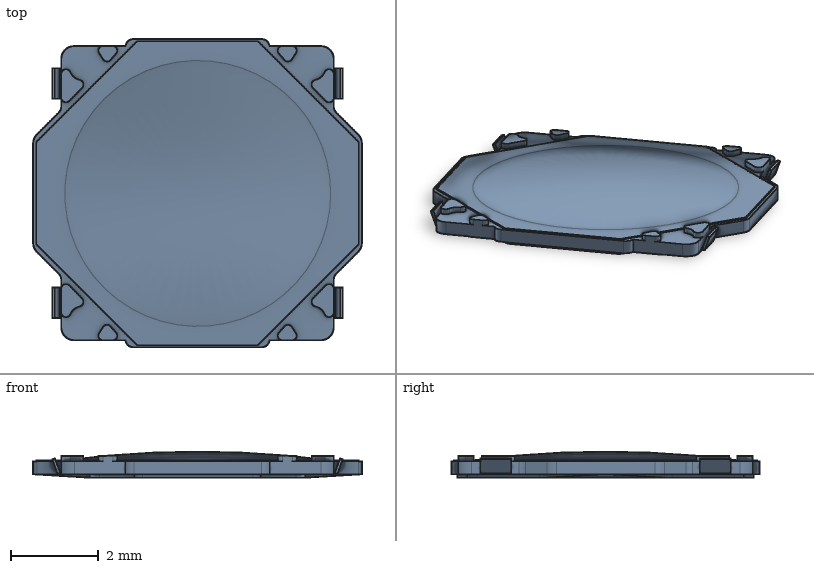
import cadquery as cq
import math

PLATE_BOTTOM_Z = 0.08
PLATE_TOP_Z = 0.375
RIM_TOP_Z = 0.40
PAD_TOP_Z = 0.50
DOME_TOP_Z = 0.60

OCTAGON_HALF_X = 3.75
OCTAGON_HALF_Y = 3.515
OCTAGON_DIAGONAL = 5.00
CORNER_HALF_X = 3.108
CORNER_HALF_Y = 3.355
CORNER_RADIUS = 0.30
OCTAGON_CORNER_RADIUS = 0.30
INNER_CORNER_RADIUS = 0.20
STEP_HALF_X = 1.646
STEP_RADIUS = 0.19

RIM_HALF_X = 3.676
RIM_HALF_Y = 3.463
RIM_DIAGONAL = 4.84
DOME_RADIUS = 3.03

BASE_HALF_X = 2.457
BASE_HALF_Y = 3.15
BASE_CORNER_RADIUS = 0.22
BASE_STEP_HALF_X = 1.445
BASE_STEP_HALF_Y = 3.38
WING_DIAGONAL = 3.87
WING_ROOT_RADIUS = 0.24
WING_SLOPE_START_X = 2.45
WING_END_X = 3.75

SIDE_PAD_RADIUS = 0.11
SIDE_PAD_X = CORNER_HALF_X - SIDE_PAD_RADIUS
SIDE_PAD_LOW_Y = 2.18
SIDE_PAD_HIGH_Y = 2.715
SIDE_PAD_NOSE = (2.71, 2.475)
SIDE_PAD_HOLLOW = (2.89, 2.565)
END_PAD_RADIUS = 0.105
END_PAD_Y = CORNER_HALF_Y - END_PAD_RADIUS
END_PAD_INNER_X = 1.935
END_PAD_OUTER_X = 2.155
END_PAD_NOSE = (2.06, 3.105)

TAB_MIN_Y = 2.148
TAB_MAX_Y = 2.85
TAB_THICKNESS = 0.065
TAB_TOP_X = 3.25
TAB_TOP_Z = 0.445
TAB_LEAN = math.radians(20)
TAB_OUTER_BOTTOM_Z = 0.105
TAB_FOOT_TOP_Z = 0.13
TAB_ROOT_X = CORNER_HALF_X - 0.05

QUADRANTS = [(sx, sy) for sx in (1, -1) for sy in (1, -1)]


def block(half_x, half_y, bottom, top):
    height = top - bottom
    return (cq.Workplane("XY").workplane(offset=bottom)
            .rect(2 * half_x, 2 * half_y).extrude(height))


def octagon(half_x, half_y, diagonal, bottom, top):
    """Octagonal prism whose 45 degree sides satisfy |x| + |y| = diagonal."""
    flat_x = diagonal - half_y
    flat_y = diagonal - half_x
    points = [
        (half_x, -flat_y), (half_x, flat_y), (flat_x, half_y), (-flat_x, half_y),
        (-half_x, flat_y), (-half_x, -flat_y), (-flat_x, -half_y), (flat_x, -half_y),
    ]
    return (cq.Workplane("XY").workplane(offset=bottom)
            .polyline(points).close().extrude(top - bottom))


def end_step(half_x, half_y, bottom, top):
    """Centre bar along Y with four rounded corners."""
    return block(half_x, half_y, bottom, top).edges("|Z").fillet(STEP_RADIUS)


def vertical_edges_at(body, x, y, middle):
    """Body's vertical edges at (x, y), centred on height middle, in all four quadrants."""
    picked = body.edges(cq.selectors.NearestToPointSelector((x, y, middle)))
    for sx, sy in QUADRANTS[1:]:
        selector = cq.selectors.NearestToPointSelector((sx * x, sy * y, middle))
        picked = picked.add(body.edges(selector))
    return picked


def make_plate():
    body = octagon(OCTAGON_HALF_X, CORNER_HALF_Y, OCTAGON_DIAGONAL, PLATE_BOTTOM_Z, PLATE_TOP_Z)
    corners = block(CORNER_HALF_X, CORNER_HALF_Y, PLATE_BOTTOM_Z, PLATE_TOP_Z)
    body = body.union(corners.edges("|Z").fillet(CORNER_RADIUS))
    octagon_corner_y = OCTAGON_DIAGONAL - OCTAGON_HALF_X
    inner_corner_y = OCTAGON_DIAGONAL - CORNER_HALF_X
    middle = (PLATE_BOTTOM_Z + PLATE_TOP_Z) / 2
    outer_edges = vertical_edges_at(body, OCTAGON_HALF_X, octagon_corner_y, middle)
    body = outer_edges.fillet(OCTAGON_CORNER_RADIUS)
    inner_edges = vertical_edges_at(body, CORNER_HALF_X, inner_corner_y, middle)
    body = inner_edges.fillet(INNER_CORNER_RADIUS)
    return body.union(end_step(STEP_HALF_X, OCTAGON_HALF_Y, PLATE_BOTTOM_Z, PLATE_TOP_Z))


def make_dome():
    rise = DOME_TOP_Z - RIM_TOP_Z
    sphere_radius = (DOME_RADIUS ** 2 + rise ** 2) / (2 * rise)
    mid_radius = DOME_RADIUS / 2
    mid_z = DOME_TOP_Z - sphere_radius + math.sqrt(sphere_radius ** 2 - mid_radius ** 2)
    return (cq.Workplane("XZ").moveTo(0, PLATE_TOP_Z).lineTo(DOME_RADIUS, PLATE_TOP_Z)
            .lineTo(DOME_RADIUS, RIM_TOP_Z)
            .threePointArc((mid_radius, mid_z), (0, DOME_TOP_Z))
            .close().revolve(360, (0, 0, 0), (0, 1, 0)))


def make_base():
    """Lower layer; its pointed wings thin out to nothing at their ends."""
    body = block(BASE_HALF_X, BASE_HALF_Y, 0, PLATE_BOTTOM_Z).edges("|Z").fillet(BASE_CORNER_RADIUS)
    tip = WING_DIAGONAL
    wings = (cq.Workplane("XY").polyline([(tip, 0), (0, tip), (-tip, 0), (0, -tip)])
             .close().extrude(PLATE_BOTTOM_Z)
             .intersect(block(tip, BASE_HALF_Y, 0, PLATE_BOTTOM_Z)))
    body = body.union(wings)
    root_y = WING_DIAGONAL - BASE_HALF_X
    root_edges = vertical_edges_at(body, BASE_HALF_X, root_y, PLATE_BOTTOM_Z / 2)
    body = root_edges.fillet(WING_ROOT_RADIUS)
    side_profile = (cq.Workplane("XZ")
                    .polyline([(-WING_SLOPE_START_X, 0), (WING_SLOPE_START_X, 0),
                               (WING_END_X, PLATE_BOTTOM_Z), (-WING_END_X, PLATE_BOTTOM_Z)])
                    .close().extrude(BASE_HALF_Y, both=True))
    body = body.intersect(side_profile)
    return body.union(end_step(BASE_STEP_HALF_X, BASE_STEP_HALF_Y, 0, PLATE_BOTTOM_Z))


def make_side_pad():
    high = (SIDE_PAD_X, SIDE_PAD_HIGH_Y)
    low = (SIDE_PAD_X, SIDE_PAD_LOW_Y)
    return (cq.Workplane("XY").workplane(offset=PLATE_TOP_Z)
            .moveTo(*low).lineTo(*high).threePointArc(SIDE_PAD_HOLLOW, SIDE_PAD_NOSE).close()
            .offset2D(SIDE_PAD_RADIUS).extrude(PAD_TOP_Z - PLATE_TOP_Z))


def make_end_pad():
    points = [(END_PAD_INNER_X, END_PAD_Y), (END_PAD_OUTER_X, END_PAD_Y), END_PAD_NOSE]
    return (cq.Workplane("XY").workplane(offset=PLATE_TOP_Z).polyline(points).close()
            .offset2D(END_PAD_RADIUS).extrude(PAD_TOP_Z - PLATE_TOP_Z))


def make_tab():
    """Thin leaning strip whose lower end runs into the plate's X side."""
    lean_run = math.tan(TAB_LEAN)
    outer_top_x = TAB_TOP_X + TAB_THICKNESS * math.cos(TAB_LEAN)
    outer_top_z = TAB_TOP_Z - TAB_THICKNESS * math.sin(TAB_LEAN)
    outer_bottom_x = outer_top_x - (outer_top_z - TAB_OUTER_BOTTOM_Z) * lean_run
    foot_x = TAB_TOP_X - (TAB_TOP_Z - TAB_FOOT_TOP_Z) * lean_run
    profile = [
        (TAB_TOP_X, TAB_TOP_Z), (outer_top_x, outer_top_z), (outer_bottom_x, TAB_OUTER_BOTTOM_Z),
        (TAB_ROOT_X, PLATE_BOTTOM_Z), (TAB_ROOT_X, TAB_FOOT_TOP_Z), (foot_x, TAB_FOOT_TOP_Z),
    ]
    return (cq.Workplane("XZ", origin=(0, TAB_MAX_Y, 0))
            .polyline(profile).close().extrude(TAB_MAX_Y - TAB_MIN_Y))


def in_all_quadrants(feature):
    """The feature together with its mirror images about the XZ and YZ planes."""
    pair = feature.union(feature.mirror("XZ"))
    return pair.union(pair.mirror("YZ"))


result = make_plate()
result = result.union(octagon(RIM_HALF_X, RIM_HALF_Y, RIM_DIAGONAL, PLATE_TOP_Z, RIM_TOP_Z))
result = result.union(make_dome())
result = result.union(make_base())
for make_feature in (make_side_pad, make_end_pad, make_tab):
    result = result.union(in_all_quadrants(make_feature()))